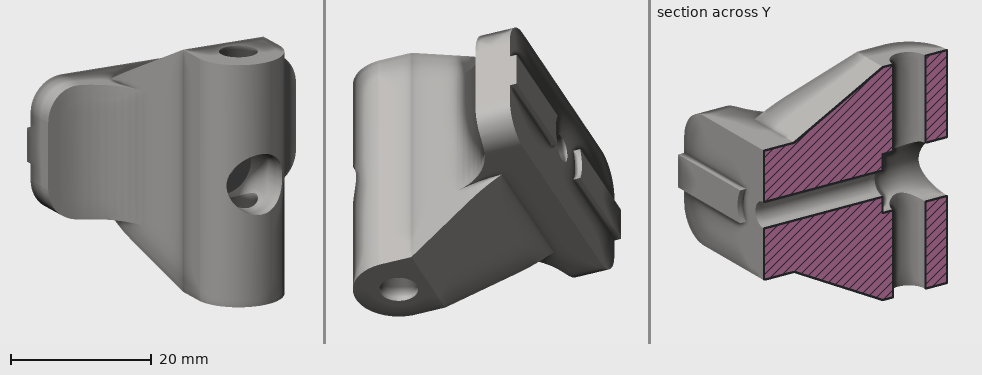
import cadquery as cq
import math

plate_width = 40.0
plate_height = 20.0
corner_radius = 5.0
plate_front = 1.05
plate_back = 6.3

rib_height = 5.1
rib_clearance_diameter = 10.0

lug_height = 36.0
lug_width = 13.0
lug_start = 21.5
pin_x = 26.0
nose_radius = 6.5
pin_diameter = 5.5

arm_root_width = 20.0
arm_curve_radius = 19.4
fillet_radius = 10.0

bolt_diameter = 4.0
bolt_head_diameter = 9.0

half_lug = lug_width / 2
half_root = arm_root_width / 2
nose_start = pin_x + math.sqrt(nose_radius**2 - half_lug**2)
nose_end = pin_x + nose_radius

curve_center_y = half_root - arm_curve_radius
flank_dx = lug_start - plate_back
flank_dy = half_lug - curve_center_y
center_distance = math.hypot(flank_dx, flank_dy)
normal_angle = math.atan2(flank_dy, flank_dx) + math.acos(arm_curve_radius / center_distance)
slope_angle = math.pi / 2 - normal_angle


def flank_y(x):
    """Half width of the straight flank at a given x."""
    return half_lug + (lug_start - x) * math.tan(slope_angle)


def box_between(x_start, x_end, width, height):
    """Box centred on the X axis, spanning two x positions."""
    return cq.Workplane("YZ", origin=(x_start, 0, 0)).rect(width, height).extrude(x_end - x_start)


def bore_along_x(diameter, x_start, x_end):
    return cq.Workplane("YZ", origin=(x_start, 0, 0)).circle(diameter / 2).extrude(x_end - x_start)


def make_arm():
    """Tapered arm and round-nosed lug, cut to a wedge above and below."""
    def curve_point(angle):
        return (
            plate_back + arm_curve_radius * math.sin(angle),
            curve_center_y + arm_curve_radius * math.cos(angle),
        )

    def mirrored(point):
        return (point[0], -point[1])

    curve_middle = curve_point(slope_angle / 2)
    curve_end = curve_point(slope_angle)
    plan = (
        cq.Workplane("XY", origin=(0, 0, -lug_height / 2))
        .moveTo(plate_back, half_root)
        .threePointArc(curve_middle, curve_end)
        .lineTo(lug_start, half_lug)
        .lineTo(nose_start, half_lug)
        .threePointArc((nose_end, 0), (nose_start, -half_lug))
        .lineTo(lug_start, -half_lug)
        .lineTo(*mirrored(curve_end))
        .threePointArc(mirrored(curve_middle), (plate_back, -half_root))
        .close()
        .extrude(lug_height)
    )
    side_profile = (
        cq.Workplane("XZ")
        .polyline([
            (plate_back, -plate_height / 2),
            (lug_start, -lug_height / 2),
            (nose_end, -lug_height / 2),
            (nose_end, lug_height / 2),
            (lug_start, lug_height / 2),
            (plate_back, plate_height / 2),
        ])
        .close()
        .extrude(nose_radius + half_root, both=True)
    )
    return plan.intersect(side_profile)


def make_plate():
    """Round-cornered plate with concave fillets sweeping onto the arm flanks."""
    fillet_center_x = plate_back + fillet_radius
    fillet_end_x = fillet_center_x - fillet_radius * math.sin(slope_angle)
    fillet_end_y = flank_y(fillet_end_x)
    fillet_center_y = fillet_end_y + fillet_radius * math.cos(slope_angle)
    middle_angle = (math.pi + 1.5 * math.pi - slope_angle) / 2
    fillet_middle_x = fillet_center_x + fillet_radius * math.cos(middle_angle)
    fillet_middle_y = fillet_center_y + fillet_radius * math.sin(middle_angle)

    plan = (
        cq.Workplane("XY", origin=(0, 0, -plate_height / 2))
        .moveTo(plate_front, plate_width / 2)
        .lineTo(plate_back, plate_width / 2)
        .lineTo(plate_back, fillet_center_y)
        .threePointArc((fillet_middle_x, fillet_middle_y), (fillet_end_x, fillet_end_y))
        .lineTo(fillet_end_x, -fillet_end_y)
        .threePointArc((fillet_middle_x, -fillet_middle_y), (plate_back, -fillet_center_y))
        .lineTo(plate_back, -plate_width / 2)
        .lineTo(plate_front, -plate_width / 2)
        .close()
        .extrude(plate_height)
    )
    rounded_block = box_between(plate_front, fillet_end_x, plate_width, plate_height)
    return plan.intersect(rounded_block.edges("|X").fillet(corner_radius))


def make_ribs():
    ribs = box_between(0, plate_front, plate_width, rib_height)
    return ribs.cut(bore_along_x(rib_clearance_diameter, 0, plate_front))


pin_hole = (
    cq.Workplane("XY", origin=(pin_x, 0, -lug_height / 2))
    .circle(pin_diameter / 2)
    .extrude(lug_height)
)

result = (
    make_plate()
    .union(make_arm())
    .union(make_ribs())
    .cut(pin_hole)
    .cut(bore_along_x(bolt_diameter, 0, nose_end))
    .cut(bore_along_x(bolt_head_diameter, lug_start, nose_end))
)